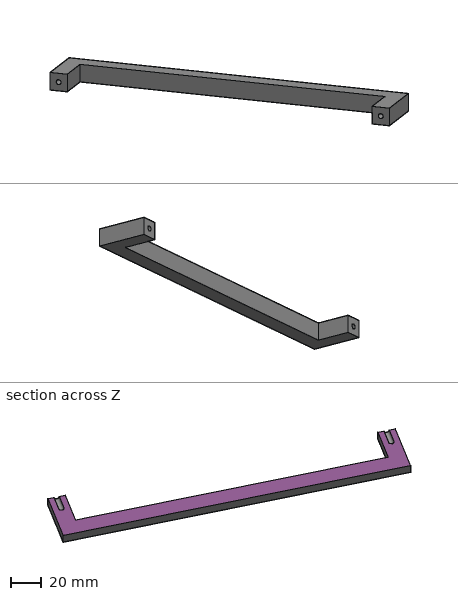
import cadquery as cq
import math

length = 236.0
depth = 36.0
bar = 12.0

hole_diameter = 3.3
hole_depth = 11.8
drill_tip_angle = 118.0

leg_spacing = length - bar


def make_body():
    """Long bar along X with a leg toward -Y at each end."""
    block = cq.Workplane("XY").box(length, depth, bar)
    opening = cq.Workplane("XY").box(length - 2 * bar, depth - bar, bar)
    return block.cut(opening.translate((0, -bar / 2, 0)))


def make_screw_hole():
    """Drilled hole starting at the origin, running along +Y to a conical tip."""
    radius = hole_diameter / 2
    tip_depth = radius / math.tan(math.radians(drill_tip_angle / 2))
    return (
        cq.Workplane("XY")
        .lineTo(radius, 0)
        .lineTo(radius, hole_depth)
        .lineTo(0, hole_depth + tip_depth)
        .close()
        .revolve(360, (0, 0, 0), (0, 1, 0))
    )


result = make_body()
for hole_x in (-leg_spacing / 2, leg_spacing / 2):
    result = result.cut(make_screw_hole().translate((hole_x, -depth / 2, 0)))